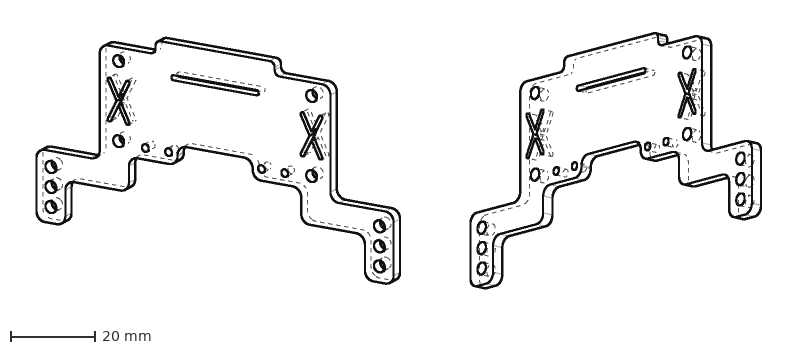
import cadquery as cq
import math

half_width = 49.0
height = 50.4
thickness = 3.0

leg_width = 7.9
leg_inner_x = half_width - leg_width
arm_bottom_z = 11.3
arm_top_z = 18.0
body_x = 31.7
body_top_z = 46.9
tab_x = 16.4
shoulder_x = 23.6
shoulder_z = 20.1
notch_x = 10.3
notch_z = 25.1
corner_radius = 2.4
tab_radius = 1.4

bolt_diameter = 2.9
leg_hole_x = half_width - leg_width / 2
leg_hole_bottom_z = 4.0
leg_hole_pitch = 5.0
leg_hole_count = 3
body_hole_x = 26.5
body_hole_low_z = 23.5
body_hole_high_z = 43.5
pin_diameter = 1.9
pin_z = 23.0
pin_inner_x = 12.7
pin_outer_x = 19.1

strap_slot_length = 23.9
strap_slot_width = 1.3
strap_slot_z = 41.8
cross_width = 1.0
cross_span_x = 5.0
cross_span_z = 10.0
cross_z = (body_hole_low_z + body_hole_high_z) / 2


def front_plane():
    """Plane on the front face; extruding by a negative length goes into the plate."""
    return cq.Workplane("XZ")


def plate():
    """Mirrored stepped outline with rounded corners."""
    right_side = [
        (notch_x, notch_z),
        (notch_x, shoulder_z),
        (shoulder_x, shoulder_z),
        (shoulder_x, arm_bottom_z),
        (leg_inner_x, arm_bottom_z),
        (leg_inner_x, 0),
        (half_width, 0),
        (half_width, arm_top_z),
        (body_x, arm_top_z),
        (body_x, body_top_z),
        (tab_x, body_top_z),
        (tab_x, height),
    ]
    left_side = [(-x, z) for x, z in reversed(right_side)]
    body = front_plane().polyline(right_side + left_side).close().extrude(-thickness)

    corners = cq.selectors.StringSyntaxSelector("|Y")
    tab_zone = cq.selectors.BoxSelector(
        (-tab_x - tab_radius, 0, body_top_z - tab_radius),
        (tab_x + tab_radius, thickness, height + tab_radius),
    )
    body = body.edges(corners - tab_zone).fillet(corner_radius)
    return body.edges(cq.selectors.AndSelector(corners, tab_zone)).fillet(tab_radius)


def holes(points, diameter):
    """Through holes at the given points and at their mirror images."""
    both_sides = [(side * x, z) for x, z in points for side in (-1, 1)]
    return front_plane().pushPoints(both_sides).circle(diameter / 2).extrude(-thickness)


def slot(x, z, length, width, angle=0):
    """Round-ended through slot centred on (x, z)."""
    return front_plane().center(x, z).slot2D(length, width, angle).extrude(-thickness)


leg_holes = [(leg_hole_x, leg_hole_bottom_z + i * leg_hole_pitch) for i in range(leg_hole_count)]
body_holes = [(body_hole_x, z) for z in (body_hole_low_z, body_hole_high_z)]
pin_holes = [(x, pin_z) for x in (pin_inner_x, pin_outer_x)]

result = plate()
result = result.cut(holes(leg_holes + body_holes, bolt_diameter))
result = result.cut(holes(pin_holes, pin_diameter))
result = result.cut(slot(0, strap_slot_z, strap_slot_length, strap_slot_width))

cross_angle = math.degrees(math.atan2(cross_span_z, cross_span_x))
cross_length = math.hypot(cross_span_x, cross_span_z) + cross_width
for cross_x in (-body_hole_x, body_hole_x):
    for angle in (-cross_angle, cross_angle):
        result = result.cut(slot(cross_x, cross_z, cross_length, cross_width, angle))